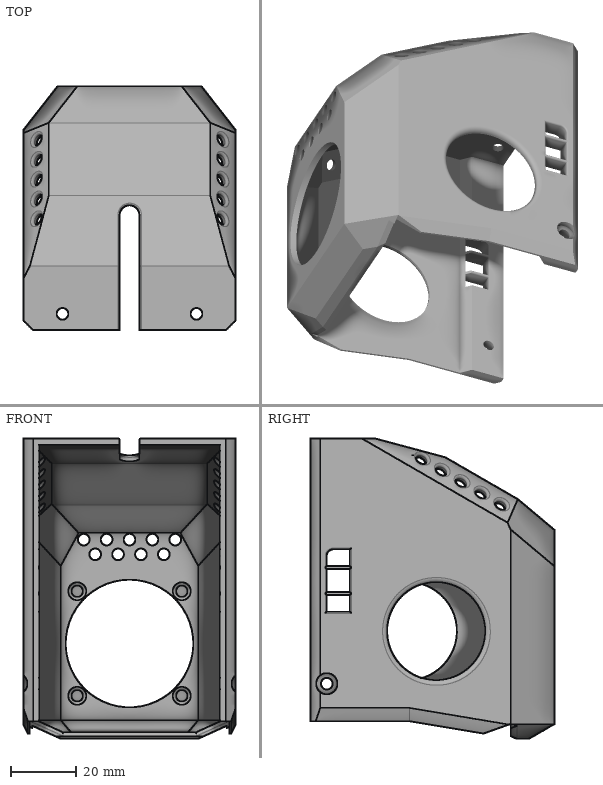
import cadquery as cq
import math

half_width = 32.5
depth = 74.72
height = 92.0
wall = 2.0
reach = 300.0

roof_bends = [19.75, 41.25, 63.5]
roof_angles = [15.0, 30.0, 40.0]
roof_chamfer_leg = 7.8

back_half_width = 22.0
corner_start = 61.25
upper_corner_drop = 11.15

floor_bevel_angle = 30.0
floor_bevel_top = 4.55
lip_front = 61.3
lip_back = 63.2
lip_end = 29.7
lip_fillet = 1.0
lip_underside_rise = 0.8

strip_inside = 27.66
strip_depth = 10.5
front_chamfer = 3.0

side_bottom = 5.4
side_bottom_bend = 30.25
side_bottom_angle = 9.5
side_bevel_height = 4.1
side_bevel_width = 1.4

slot_width = 6.0
slot_center = 35.2
slot_fillet = 0.6
fixing_diameter = 3.5
fixing_inset = 5.0
roof_fixing_x = 20.5
side_fixing_z = 16.9
counterbore_diameter = 6.5
counterbore_depth = 2.0
side_hole_left_y = 29.8
side_hole_right_y = 38.5
side_hole_z = 33.0
side_hole_diameter = 30.0
side_hole_fillet = 1.5
fan_z = 29.2
fan_diameter = 39.0
fan_screw_pitch = 32.0
vent_diameter = 3.5
screw_recess_diameter = 5.5
screw_recess_depth = 1.0
roof_vent_fillet = 0.85
vent_pitch = 7.0
back_vent_rows = [(61.0, 5), (56.5, 4)]
roof_vent_count = 5
roof_vent_first_y = 34.2
roof_vent_x = 28.5
window_back = 12.0
window_width = 7.0
window_bottom = 39.0
window_heights = [5.0, 7.0, 5.0]
window_bar = 1.0
window_fillet = 0.5
window_corner_radius = 2.0


def tan(angle):
    return math.tan(math.radians(angle))


def sin(angle):
    return math.sin(math.radians(angle))


def cos(angle):
    return math.cos(math.radians(angle))


def mirrored(body):
    """The body together with its mirror image across the YZ plane."""
    return body.union(body.mirror("YZ"))


def half_space(point, normal, inset=0.0):
    """Block lying outside a plane that is moved inwards by the inset."""
    n = cq.Vector(*normal).normalized()
    origin = cq.Vector(*point) - n * inset
    return cq.Workplane(cq.Plane(origin, normal=n)).rect(reach, reach).extrude(reach)


def block(x_range, y_range, z_range):
    size = [b - a for a, b in (x_range, y_range, z_range)]
    corner = (x_range[0], y_range[0], z_range[0])
    return cq.Workplane("XY").box(*size, centered=False).translate(corner)


roof_points = [(roof_bends[0], height)]
for angle, next_y in zip(roof_angles, roof_bends[1:] + [depth]):
    last_y, last_z = roof_points[-1]
    roof_points.append((next_y, last_z - (next_y - last_y) * tan(angle)))
main_slope = roof_angles[1]
main_slope_y, main_slope_z = roof_points[1]

corner_run_x = half_width - back_half_width
corner_run_y = depth - corner_start
corner_length = math.hypot(corner_run_x, corner_run_y)
corner_nx = corner_run_y / corner_length
corner_ny = corner_run_x / corner_length

rear_slope = roof_angles[2]
back_top = roof_points[3][1]
facet_top_x = half_width - roof_chamfer_leg - (depth - roof_bends[2]) * corner_run_x / corner_run_y
facet_along = cq.Vector(corner_run_x, -corner_run_y, corner_run_y * tan(rear_slope))
facet_across = cq.Vector(facet_top_x - back_half_width, 0, upper_corner_drop)
facet_normal = facet_along.cross(facet_across)
if facet_normal.z < 0:
    facet_normal = facet_normal * -1

center_planes = [((0, y, z), (0, sin(a), cos(a))) for (y, z), a in zip(roof_points, roof_angles)]
center_planes.append(
    ((0, depth, floor_bevel_top), (0, sin(floor_bevel_angle), -cos(floor_bevel_angle)))
)
side_planes = [
    ((back_half_width, depth, 0), (corner_nx, corner_ny, 0)),
    (
        (half_width - roof_chamfer_leg, main_slope_y, main_slope_z),
        (1, sin(main_slope), cos(main_slope)),
    ),
    ((facet_top_x, depth, back_top), facet_normal.toTuple()),
    (
        (back_half_width, depth, floor_bevel_top),
        (
            corner_nx * sin(floor_bevel_angle),
            corner_ny * sin(floor_bevel_angle),
            -cos(floor_bevel_angle),
        ),
    ),
]


def hull(inset):
    """Faceted envelope, open-ended at the front, with every face moved inwards by the inset."""
    x = half_width - inset
    body = block((-x, x), (0, depth - inset), (inset, height - inset))
    for point, normal in center_planes:
        body = body.cut(half_space(point, normal, inset))
    for point, normal in side_planes:
        body = body.cut(mirrored(half_space(point, normal, inset)))
    return body


def lip_top_height(x):
    """Height of the inner floor bevel at the back of the lip."""
    offset = corner_nx * (x - back_half_width) + corner_ny * (lip_back - depth)
    return floor_bevel_top + offset * tan(floor_bevel_angle) + wall / cos(floor_bevel_angle)


lip_slope = corner_nx * tan(floor_bevel_angle)
lip_top_flat = lip_end - (lip_top_height(lip_end) - wall) / lip_slope
lip_outer_z = lip_top_height(lip_end) - wall / cos(floor_bevel_angle)
lip_bottom_flat = lip_end - lip_outer_z / lip_slope


def lip_section(right):
    """Prism over the depth of the lip from the right half of its symmetric outline."""
    left = [(-x, z) for x, z in reversed(right)]
    back = cq.Workplane("XZ", origin=(0, lip_back, 0))
    return back.polyline(right + left).close().extrude(lip_back - lip_front)


def lip():
    """Rounded front edge of the floor, following its flat middle and both bevels."""
    body = lip_section(
        [
            (lip_bottom_flat, 0),
            (lip_end, lip_outer_z),
            (lip_end, lip_top_height(lip_end)),
            (lip_top_flat, wall),
        ]
    )
    top_edges = []
    for edge in body.faces("<Y").edges().vals():
        center = edge.Center()
        if center.z > max(wall, lip_top_height(abs(center.x))) - wall / 2:
            top_edges.append(edge)
    body = body.newObject(top_edges).fillet(lip_fillet)
    underside = [(lip_front, 0), (lip_front, lip_underside_rise), (lip_back, 0)]
    ramp = cq.Workplane("YZ", origin=(-lip_end, 0, 0)).polyline(underside).close()
    return body.cut(ramp.extrude(2 * lip_end))


def lip_space():
    """Space under the top of the lip, from which the plain floor is cleared."""
    return lip_section(
        [
            (lip_end, -wall),
            (lip_end, lip_top_height(lip_end)),
            (lip_top_flat, wall),
        ]
    )


def strip():
    """Thickened front of the +X side wall with a 45 degree rear face."""
    taper = half_width - strip_inside
    outline = [
        (strip_inside, 0),
        (half_width, 0),
        (half_width, strip_depth + taper),
        (strip_inside, strip_depth),
    ]
    return cq.Workplane("XY").polyline(outline).close().extrude(height)


def side_bottom_trim():
    """Space under the side walls, with the outer bevel and the rising rear end of their lower edge."""
    zone = block((-reach, reach), (-1, lip_front), (-1, height))

    def below(point_x, z, nx):
        flat = half_space((point_x, 0, z), (nx, 0, -1))
        falling = half_space((point_x, side_bottom_bend, z), (nx, -tan(side_bottom_angle), -1))
        return zone.intersect(flat).intersect(falling)

    bevel_nx = side_bevel_height / side_bevel_width
    bevel = below(half_width, side_bottom + side_bevel_height, bevel_nx)
    rear_rise = corner_ny * tan(floor_bevel_angle)
    rear = zone.intersect(half_space((0, corner_start, floor_bevel_top), (0, rear_rise, -1)))
    return below(0, side_bottom, 0).union(mirrored(bevel)).union(rear)


def roof_with_slot(body):
    """Cut the rounded-edge cable slot into the front of the roof."""
    slot_depth = 20.0
    floor = height - slot_depth
    radius = slot_width / 2
    slot = block((-radius, radius), (-1, slot_center), (floor, height))
    end = cq.Workplane("XY", origin=(0, slot_center, floor)).circle(radius).extrude(slot_depth)
    body = body.cut(slot.union(end))
    rim = cq.selectors.BoxSelector(
        (-radius - 1, 1, height - slot_depth / 2 + 1),
        (radius + 1, slot_center + radius + 1, height + 1),
    )
    return body.edges(rim).fillet(slot_fillet)


def cylinder(diameter, length):
    """Hole cutter from the origin along -Z."""
    return cq.Workplane("XY").circle(diameter / 2).extrude(-length)


def placed(cutter, origin, normal):
    """Cutter moved to the origin point, with its +Z axis turned to the normal."""
    return cq.Workplane(cutter.val().moved(cq.Location(cq.Plane(origin, normal=normal))))


def roof_fixing():
    """Fixing hole at the front of the roof."""
    return placed(
        cylinder(fixing_diameter, 2 * wall), (roof_fixing_x, fixing_inset, height + 1), (0, 0, 1)
    )


def side_fixing():
    """Counterbored fixing hole through the side wall and its strip."""
    hole = cylinder(fixing_diameter, half_width - strip_inside + 1)
    hole = hole.union(cylinder(counterbore_diameter, counterbore_depth))
    return placed(hole, (half_width, fixing_inset, side_fixing_z), (1, 0, 0))


def rounded_hole(diameter, fillet):
    """Hole cutter along -Z whose mouth at the origin is rounded."""
    radius = diameter / 2
    arc_middle = fillet * (1 - math.sqrt(0.5))
    profile = (
        cq.Workplane("XZ")
        .lineTo(radius + fillet, 0)
        .threePointArc((radius + arc_middle, -arc_middle), (radius, -fillet))
        .lineTo(radius, -2 * wall)
        .lineTo(0, -2 * wall)
        .close()
    )
    return profile.revolve(360, (0, 0), (0, 1))


def side_hole(y):
    """Large round opening through the +X side wall."""
    hole = rounded_hole(side_hole_diameter, side_hole_fillet)
    return placed(hole, (half_width, y, side_hole_z), (1, 0, 0))


def roof_vents():
    """Row of rounded vent holes along the roof's side chamfer."""
    vent = rounded_hole(vent_diameter, roof_vent_fillet)
    edge_x = half_width - roof_chamfer_leg
    drop = (roof_vent_x - edge_x) / cos(main_slope)
    vents = cq.Workplane("XY")
    for index in range(roof_vent_count):
        y = roof_vent_first_y + index * vent_pitch * cos(main_slope)
        z = main_slope_z - (y - main_slope_y) * tan(main_slope) - drop
        vents = vents.add(placed(vent, (roof_vent_x, y, z), (1, sin(main_slope), cos(main_slope))))
    return vents.combine()


def with_window(body):
    """Cut the tall window into the +X side wall and span it with round-edged bars."""
    front = window_back - window_width
    top = window_bottom + sum(window_heights) + window_bar * (len(window_heights) - 1)
    opening = block((strip_inside - 1, half_width + 1), (front, window_back), (window_bottom, top))
    opening = opening.edges("|X and <Y and >Z").fillet(window_corner_radius)
    rim = cq.selectors.BoxSelector(
        (half_width - window_fillet / 2, front - 1, window_bottom - 1),
        (half_width + window_fillet / 2, window_back + 1, top + 1),
    )
    body = body.cut(opening).edges(rim).fillet(window_fillet)
    bar_length = half_width - strip_inside
    bar_x = (half_width + strip_inside) / 2
    bar_z = window_bottom - window_bar / 2
    for size in window_heights[:-1]:
        bar_z += size + window_bar
        section = cq.Workplane("XZ", origin=(bar_x, window_back + window_fillet, bar_z))
        bar = section.slot2D(bar_length, window_bar).extrude(window_width + 2 * window_fillet)
        body = body.union(bar.intersect(strip()))
    return body


def back_openings():
    """Fan opening, blind conical screw recesses on the inside, and rows of vent holes."""
    outside = depth + 1
    tools = placed(cylinder(fan_diameter, 2 * wall), (0, outside, fan_z), (0, 1, 0))
    narrow = screw_recess_diameter / 2 - screw_recess_depth
    recess = cq.Workplane(
        cq.Solid.makeCone(
            screw_recess_diameter / 2, narrow, screw_recess_depth, dir=cq.Vector(0, 0, -1)
        )
    )
    half_pitch = fan_screw_pitch / 2
    for x in (-half_pitch, half_pitch):
        for z in (fan_z - half_pitch, fan_z + half_pitch):
            tools = tools.add(placed(recess, (x, depth - wall, z), (0, -1, 0)))
    vent = cylinder(vent_diameter, 2 * wall)
    for z, count in back_vent_rows:
        for index in range(count):
            x = (index - (count - 1) / 2) * vent_pitch
            tools = tools.add(placed(vent, (x, outside, z), (0, 1, 0)))
    return tools.combine()


inner_half_width = half_width - wall
floor_opening = block(
    (-inner_half_width, inner_half_width), (0, lip_front), (0, lip_top_height(inner_half_width))
)

result = roof_with_slot(hull(0)).cut(hull(wall)).cut(floor_opening)
result = result.cut(lip_space()).union(lip())
result = result.union(mirrored(strip().intersect(hull(0))))
result = result.cut(side_bottom_trim())

front_corner = half_space((half_width, front_chamfer, 0), (1, -1, 0))
for tool in (front_corner, roof_fixing(), side_fixing(), roof_vents()):
    result = result.cut(mirrored(tool))
for _ in range(2):
    result = with_window(result).mirror("YZ")
result = result.cut(side_hole(side_hole_right_y))
result = result.cut(side_hole(side_hole_left_y).mirror("YZ"))
result = result.cut(back_openings())